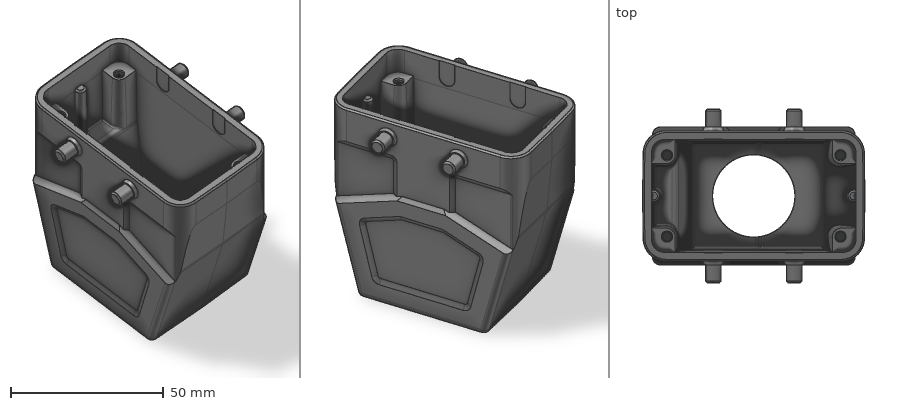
import cadquery as cq
import math

LENGTH = 73.0
HEIGHT = 72.0
COLLAR_WIDTH = 42.8
HOOD_WIDTH = 45.25
COLLAR_CORNER_RADIUS = 7.5
COLLAR_ROOT_Z = 21.9
RIM_CHAMFER = 0.6
DRAFT = 0.7

TAPER_TOP_Z = 60.8
TAPER_KNEE_X = 34.6
TAPER_KNEE_Z = 40.1
TAPER_KNEE_RADIUS = 5.85
BASE_HALF_LENGTH = 24.15
HOOD_FILLET = 2.2
END_SLOPE = (TAPER_KNEE_X - BASE_HALF_LENGTH) / TAPER_KNEE_Z

SHOULDER_HALF_FLAT = 9.1
SHOULDER_Z = 42.85
SHOULDER_SLOPE = math.tan(math.radians(20))
SHOULDER_FLAT_RISE = 2.6
SHOULDER_SLANT_RISE = 1.75

RECESS_DEPTH = 1.0
RECESS_BEVEL = 1.8
RECESS_TAPER = math.degrees(math.atan(RECESS_BEVEL / RECESS_DEPTH))
NOTCH_TOP_Z = 59.1
NOTCH_INNER_X = 9.85
NOTCH_CORNER_RADIUS = 2.2
NOTCH_FLOOR_Y = COLLAR_WIDTH / 2 - RECESS_DEPTH
NOTCH_EDGE_FILLET = 1.1
PANEL_TOP_Z = 37.1
PANEL_BOTTOM_Z = 7.8
PANEL_TOP_HALF = 8.0
PANEL_SIDE_X, PANEL_SIDE_Z = 23.8, 31.3
PANEL_BOTTOM_HALF = 18.0
PANEL_FILLET = 2.9

PIN_X = 13.3
PIN_Z = 65.85
PIN_SPAN = 57.0
PIN_RADIUS = 2.55
PIN_CHAMFER = 0.6
PIN_BASE_RADIUS = 3.5
PIN_COLLAR_RADIUS = 3.0
PIN_COLLAR_HEIGHT = 1.25
PIN_SLOT_RADIUS = 2.9
PIN_SLOT_DEPTH = 0.2

CAVITY_LENGTH = 67.15
CAVITY_WIDTH = 37.1
CAVITY_CORNER_RADIUS = 4.4
CAVITY_DRAFT_Z = 62.05
FLOOR_HALF_WIDTH = 17.45
LOW_FLOOR_Z = 2.6
HIGH_FLOOR_Z = 5.1
RIGHT_FLOOR_X = 22.85
LEFT_FLOOR_X = -20.15
STEP_LOW_X, STEP_HIGH_X = 1.2, 2.8
LEDGE_Z = 40.9
LEDGE_INNER_X = -25.0
LEDGE_OUTER_X = -32.55
LEDGE_FILLET = 2.1
LEDGE_ROOT_FILLET = 0.7
FLOOR_FILLET = 0.95
OUTLET_RADIUS = 13.5

POST_TOP_Z = 63.0
POST_INNER_X = 25.8
POST_INNER_Y = 10.6
POST_CORNER_RADIUS = 2.9
POST_DRAFT = 2.0
POST_HOLE_X, POST_HOLE_Y = 28.5, 13.35
POST_HOLE_RADIUS = 1.45
POST_HOLE_DEPTH = 10.2
POST_HOLE_CHAMFER = 0.4
RIB_X = 32.85
RIB_TOP_RADIUS = 1.9
RIB_BASE_RADIUS = 3.2
RIB_CHAMFER = 0.65

OVERSIZE = 2 * LENGTH
TOLERANCE = 0.1
BLANK_DEPTH = 0.7
SLOT_OVERLAP = 0.7


def mirror_points(half):
    """Close a right-hand outline with its mirror image about X = 0."""
    return half + [(-x, z) for x, z in reversed(half)]


def along_y(points, start_y, depth, taper=0.0):
    """Extrude an XZ outline in +Y from start_y."""
    plane = cq.Workplane("XZ", origin=(0, start_y, 0))
    return plane.polyline(points).close().extrude(-depth, taper=taper)


def both_sides(half):
    return half.union(half.mirror("XZ"))


def sink_outline(blank):
    """Bevelled recess tool sunk toward -Y from the outline of the blank's lowest-Y face."""
    mouth = blank.faces("<Y")
    plane = cq.Workplane("XZ", origin=(0, mouth.val().Center().y, 0))
    return plane.add(mouth.wires().val()).toPending().extrude(RECESS_DEPTH, taper=RECESS_TAPER)


def end_profile_half():
    """Half body whose ends and bottom are drafted away from the Y = 0 parting plane."""
    profile = mirror_points([
        (BASE_HALF_LENGTH, 0),
        (TAPER_KNEE_X, TAPER_KNEE_Z),
        (LENGTH / 2, TAPER_TOP_Z),
        (LENGTH / 2, HEIGHT + HOOD_FILLET),
    ])
    half = along_y(profile, 0, HOOD_WIDTH / 2, DRAFT)
    for side in (-1, 1):
        knee = cq.selectors.NearestToPointSelector(
            (side * TAPER_KNEE_X, HOOD_WIDTH / 4, TAPER_KNEE_Z))
        half = half.edges(knee).fillet(TAPER_KNEE_RADIUS)
    return half


def shoulder_line(flat_z, slant_rise):
    """Roof-shaped outline: a flat top falling away at the shoulder slope on both sides."""
    drop = SHOULDER_Z + slant_rise - flat_z
    flat_half = SHOULDER_HALF_FLAT + drop / SHOULDER_SLOPE
    reach = LENGTH / 2 + HOOD_FILLET
    reach_z = flat_z - (reach - flat_half) * SHOULDER_SLOPE
    return mirror_points([(reach, -HOOD_FILLET), (reach, reach_z), (flat_half, flat_z)])


def make_hood():
    half = end_profile_half()
    half = half.faces(">Y").edges().fillet(HOOD_FILLET)
    base_corners = cq.selectors.BoxSelector(
        (-LENGTH, TOLERANCE, -0.7), (LENGTH, HOOD_WIDTH / 2 - HOOD_FILLET, 0.7))
    half = half.edges(base_corners).fillet(HOOD_FILLET)
    lower = shoulder_line(SHOULDER_Z, 0)
    upper = shoulder_line(SHOULDER_Z + SHOULDER_FLAT_RISE, SHOULDER_SLANT_RISE)
    core = along_y(upper, 0, NOTCH_FLOOR_Y)
    bevel = (
        cq.Workplane("XZ", origin=(0, NOTCH_FLOOR_Y, 0)).polyline(upper).close()
        .workplane(offset=NOTCH_FLOOR_Y - HOOD_WIDTH / 2).polyline(lower).close()
        .loft(ruled=True)
    )
    return both_sides(half.intersect(core.union(bevel)))


def make_notch(side):
    """Bevelled recess in the collar, open toward the end and the hood."""
    outline = [
        (side * NOTCH_INNER_X, 0),
        (side * NOTCH_INNER_X, NOTCH_TOP_Z),
        (side * LENGTH, NOTCH_TOP_Z),
        (side * LENGTH, 0),
    ]
    blank = along_y(outline, COLLAR_WIDTH / 2, BLANK_DEPTH)
    corner = cq.selectors.NearestToPointSelector(
        (side * NOTCH_INNER_X, COLLAR_WIDTH / 2, NOTCH_TOP_Z))
    blank = blank.edges("|Y").edges(corner).fillet(NOTCH_CORNER_RADIUS)
    return sink_outline(blank)


def make_collar():
    face_y = COLLAR_WIDTH / 2
    end_x = LENGTH / 2
    face_x = end_x - face_y * math.tan(math.radians(DRAFT))
    outline = [
        (end_x, 0), (face_x, face_y), (-face_x, face_y),
        (-end_x, 0), (-face_x, -face_y), (face_x, -face_y),
    ]
    prism = (
        cq.Workplane("XY", origin=(0, 0, COLLAR_ROOT_Z)).polyline(outline).close()
        .extrude(HEIGHT - COLLAR_ROOT_Z)
    )
    for side in ("<Y", ">Y"):
        prism = prism.faces(side).edges("|Z").fillet(COLLAR_CORNER_RADIUS)
    prism = prism.faces(">Z").edges().chamfer(RIM_CHAMFER)
    half = end_profile_half().intersect(prism)
    for side in (-1, 1):
        half = half.cut(make_notch(side))
        floor_end_z = (NOTCH_TOP_Z + TAPER_KNEE_Z) / 2
        floor_end = cq.selectors.NearestToPointSelector(
            (side * LENGTH / 2, NOTCH_FLOOR_Y, floor_end_z))
        half = half.edges("|Z").edges(floor_end).fillet(NOTCH_EDGE_FILLET)
    return both_sides(half)


def make_panel():
    """Bevelled recess on the +Y face of the hood."""
    outline = mirror_points([
        (PANEL_BOTTOM_HALF, PANEL_BOTTOM_Z),
        (PANEL_SIDE_X, PANEL_SIDE_Z),
        (PANEL_TOP_HALF, PANEL_TOP_Z),
    ])
    blank = along_y(outline, HOOD_WIDTH / 2, BLANK_DEPTH)
    below_flat = cq.selectors.BoxSelector((-LENGTH, 0, 0), (LENGTH, HOOD_WIDTH, PANEL_SIDE_Z + 0.7))
    return sink_outline(blank.edges("|Y").edges(below_flat).fillet(PANEL_FILLET))


def make_pin(x):
    """Pin with a conical foot, standing on the +Y face of the collar."""
    foot_y = COLLAR_WIDTH / 2
    root_y = (CAVITY_WIDTH + COLLAR_WIDTH) / 4
    tip_y = PIN_SPAN / 2
    profile = [
        (0, root_y),
        (PIN_BASE_RADIUS, root_y),
        (PIN_BASE_RADIUS, foot_y),
        (PIN_COLLAR_RADIUS, foot_y + PIN_COLLAR_HEIGHT),
        (PIN_RADIUS, foot_y + PIN_COLLAR_HEIGHT),
        (PIN_RADIUS, tip_y - PIN_CHAMFER),
        (PIN_RADIUS - PIN_CHAMFER, tip_y),
        (0, tip_y),
    ]
    pin = cq.Workplane("XY").polyline(profile).close().revolve(360, (0, 0, 0), (0, 1, 0))
    return pin.translate((x, 0, PIN_Z))


def make_pin_slot(x):
    """Shallow round-ended recess in the inner wall behind a pin."""
    length = HEIGHT - PIN_Z
    depth = CAVITY_WIDTH / 2 + PIN_SLOT_DEPTH
    round_end = cq.Workplane("XZ").center(x, PIN_Z).circle(PIN_SLOT_RADIUS).extrude(-depth)
    straight = cq.Workplane("XZ").center(x, PIN_Z + length / 2).rect(2 * PIN_SLOT_RADIUS, length)
    slot = round_end.union(straight.extrude(-depth))
    inner_block = cq.Workplane("XY").box(OVERSIZE, CAVITY_WIDTH - 2 * SLOT_OVERLAP, OVERSIZE)
    return slot.cut(inner_block)


def make_cavity():
    slope_top_z = HIGH_FLOOR_Z + (CAVITY_LENGTH / 2 - RIGHT_FLOOR_X) / END_SLOPE
    section = [
        (LEFT_FLOOR_X, LOW_FLOOR_Z),
        (STEP_LOW_X, LOW_FLOOR_Z),
        (STEP_HIGH_X, HIGH_FLOOR_Z),
        (RIGHT_FLOOR_X, HIGH_FLOOR_Z),
        (CAVITY_LENGTH / 2, slope_top_z),
        (CAVITY_LENGTH / 2, HEIGHT),
        (-CAVITY_LENGTH / 2, HEIGHT),
        (-CAVITY_LENGTH / 2, CAVITY_DRAFT_Z),
        (LEDGE_OUTER_X, LEDGE_Z),
        (LEDGE_INNER_X, LEDGE_Z),
    ]
    cavity = along_y(section, -CAVITY_WIDTH / 2, CAVITY_WIDTH)
    ledge_edge = cq.selectors.NearestToPointSelector((LEDGE_INNER_X, 0, LEDGE_Z))
    cavity = cavity.edges("|Y").edges(ledge_edge).fillet(LEDGE_FILLET)
    walls = mirror_points([
        (FLOOR_HALF_WIDTH, LOW_FLOOR_Z),
        (CAVITY_WIDTH / 2, CAVITY_DRAFT_Z),
        (CAVITY_WIDTH / 2, HEIGHT),
    ])
    drafted = cq.Workplane("YZ").polyline(walls).close().extrude(LENGTH / 2, both=True)
    rounded = (
        cq.Workplane("XY").box(CAVITY_LENGTH, CAVITY_WIDTH, HEIGHT, centered=(True, True, False))
        .edges("|Z").fillet(CAVITY_CORNER_RADIUS)
    )
    cavity = cavity.intersect(drafted)
    floor_edges = cq.selectors.BoxSelector(
        (-LENGTH, -LENGTH, LOW_FLOOR_Z - 0.7), (LENGTH, LENGTH, HIGH_FLOOR_Z + 0.7))
    cavity = cavity.edges(floor_edges).fillet(FLOOR_FILLET)
    return cavity.intersect(rounded)


def make_post(x_side, y_side):
    """Drafted corner post with a blind, countersunk screw hole."""
    size_x = LENGTH / 2
    size_y = COLLAR_WIDTH / 2
    post = (
        cq.Workplane("XY", origin=(0, 0, POST_TOP_Z))
        .center(x_side * (POST_INNER_X + size_x / 2), y_side * (POST_INNER_Y + size_y / 2))
        .sketch().rect(size_x, size_y).vertices().fillet(POST_CORNER_RADIUS).finalize()
        .extrude(LOW_FLOOR_Z - POST_TOP_Z, taper=-POST_DRAFT)
    )
    centre = (x_side * POST_HOLE_X, y_side * POST_HOLE_Y, POST_TOP_Z)
    hole = cq.Workplane("XY", origin=centre).circle(POST_HOLE_RADIUS).extrude(-POST_HOLE_DEPTH)
    sink = (
        cq.Workplane("XY", origin=centre).circle(POST_HOLE_RADIUS + POST_HOLE_CHAMFER)
        .workplane(offset=-POST_HOLE_CHAMFER).circle(POST_HOLE_RADIUS).loft()
    )
    return post.cut(hole).cut(sink)


def make_rib(side):
    """Tapered half-round rib with a chamfered top in the middle of an end wall."""
    return (
        cq.Workplane("XY", origin=(side * RIB_X, 0, LOW_FLOOR_Z)).circle(RIB_BASE_RADIUS)
        .workplane(offset=POST_TOP_Z - LOW_FLOOR_Z).circle(RIB_TOP_RADIUS).loft()
        .faces(">Z").edges().chamfer(RIB_CHAMFER)
    )


cavity = make_cavity()
for x_side in (-1, 1):
    cavity = cavity.cut(make_rib(x_side))
    for y_side in (-1, 1):
        cavity = cavity.cut(make_post(x_side, y_side))

ledge_root = cq.selectors.BoxSelector(
    (-LENGTH, -POST_INNER_Y, LEDGE_Z - TOLERANCE),
    (LEDGE_INNER_X - LEDGE_FILLET, POST_INNER_Y, LEDGE_Z + TOLERANCE))
cavity = cavity.edges(ledge_root).fillet(LEDGE_ROOT_FILLET)

body = make_collar().union(make_hood()).cut(both_sides(make_panel())).cut(cavity)
outlet = cq.Workplane("XY").circle(OUTLET_RADIUS).extrude(LEDGE_Z)
body = body.cut(outlet)
for x in (-PIN_X, PIN_X):
    body = body.union(both_sides(make_pin(x)))
    body = body.cut(both_sides(make_pin_slot(x)))

result = body